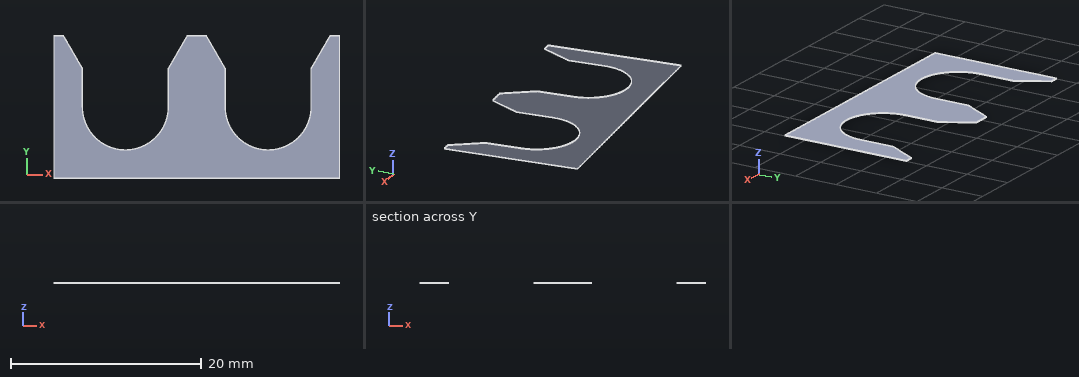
import cadquery as cq
import math

plate_length = 30.0
plate_width = 15.0
plate_thickness = 0.1

slot_count = 2
slot_pitch = plate_length / slot_count
slot_width = 9.0
slot_radius = slot_width / 2
slot_floor = 3.0

tip_width = 1.0
lead_in_angle = 30.0
mouth_width = slot_pitch - 2 * tip_width
lead_in_depth = (mouth_width - slot_width) / 2 / math.tan(math.radians(lead_in_angle))

front_edge = -plate_width / 2
rear_edge = plate_width / 2
slot_bottom = front_edge + slot_floor
arc_center = slot_bottom + slot_radius
lead_in_start = rear_edge - lead_in_depth


def make_plate():
    return cq.Workplane("XY").box(
        plate_length, plate_width, plate_thickness, centered=(True, True, False)
    )


def make_slot(center_x):
    """Round-bottomed slot with a flared mouth at the rear edge."""
    left = center_x - slot_radius
    right = center_x + slot_radius
    return (
        cq.Workplane("XY")
        .moveTo(center_x - mouth_width / 2, rear_edge)
        .lineTo(left, lead_in_start)
        .lineTo(left, arc_center)
        .threePointArc((center_x, slot_bottom), (right, arc_center))
        .lineTo(right, lead_in_start)
        .lineTo(center_x + mouth_width / 2, rear_edge)
        .close()
        .extrude(plate_thickness)
    )


result = make_plate()
for index in range(slot_count):
    slot_x = (index - (slot_count - 1) / 2) * slot_pitch
    result = result.cut(make_slot(slot_x))